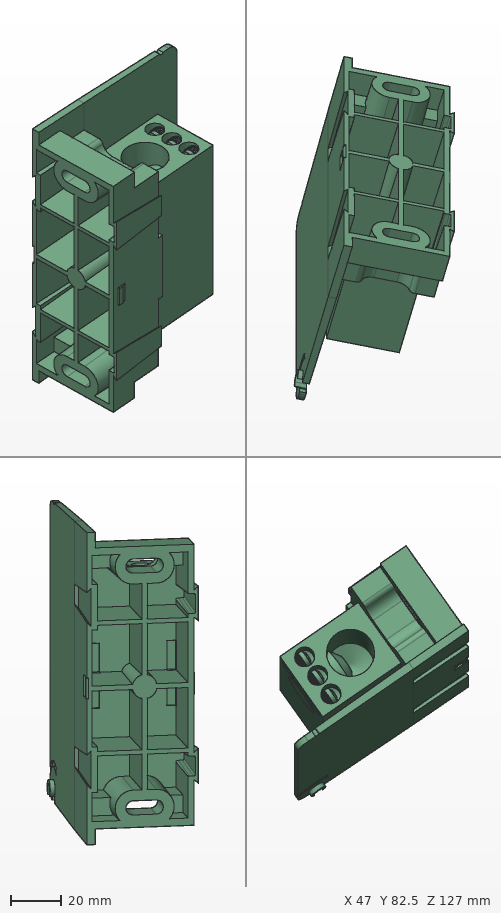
import cadquery as cq
import math


base_width = 43.5
base_height = 26.8
base_half_length = 57.2
plate_thickness = 3.4
base_centre_x = (plate_thickness + base_width) / 2
left_wall = 2.2
right_wall = 2.4
end_wall = 3.0
top_wall = 2.3
draft = 1

ear_height = 12.6
slot_z = 49.2
slot_diameter = 5.7
slot_length = 15.1
slot_centre_offset = (slot_length - slot_diameter) / 2
post_radius = 7.2
post_draft = 1.6
recess_radius = 10.8 / 2
recess_lip_radius = 5.0 / 2

long_rib = 2.2
cross_rib = 1.8
middle_rib = 2.0
cross_rib_z = 26.5
hub_diameter = 9.9

pad_height = 2.4
pad_half_length = 15.5
pad_wall = 2.3
left_hollow_edge = 9.8
right_hollow_edge = 37.0
hollow_depth = 1.3
hollow_inset = 0.4

dovetail_z = 33
dovetail_flare = 1.5
dovetail_narrowing = 2.0
groove_half_width = 6.1
groove_depth = 1.7
groove_backing = 4.3
backing_half_width = 9.3
backing_narrowing = 0.4
tongue_half_width = 5.6
tongue_depth = 1.8
tongue_cavity_half_width = 4.1
tongue_cavity_narrowing = 1.5
tongue_cavity_lip_radius = 1.0
tongue_cavity_corner_radius = 0.6
tongue_cavity_start = 40.5
tongue_cavity_end = 44.0

catch_width = 8.5
catch_depth = 0.8
catch_lead_in = 1.7
catch_start = 2.8
catch_ridge = 4.8
catch_end = 6.9

plate_top_inset = 0.4
plate_height = 82.5
plate_half_length = 63.5
plate_base_edge_angle = 1.6
plate_edge_angle = 2.2
corner_radius = 5.0
corner_flat_z = 60.7
flat_end_y = 72.4
scoop_y = 73.3
scoop_z = 61.2
scoop_radius = 1.0

hinge_y = 74.0
hinge_z = -55.4
boss_diameter = 7.0
boss_height = 1.7
hinge_slot_width = 4.0
hinge_mouth_width = 4.8
hinge_mouth_z = -58.4
arc_outer_diameter = 22.2
arc_inner_diameter = 17.5
arc_end_y = 68.2
arc_depth = 0.8
detent_start_y = 80.5
detent_crest_y = 81.5
detent_crest_x = 0.5

block_width = 29.8
block_height = 38.1
block_half_length = 37.7
block_left = base_centre_x - block_width / 2
block_right = base_centre_x + block_width / 2
block_top = base_height + block_height
drill_half_angle = 59

main_bore_diameter = 19
main_bore_y = 41.0
main_bore_depth = 31.8
branch_bore_diameter = 7.9
branch_bore_y = 56.9
branch_bore_depth = 7.6
branch_spacing = 9.1
branch_count = 3

main_screw_diameter = 17.5
main_screw_drop = 19
main_screw_shoulder_y = 46.2
main_screw_tip_y = 43.0
main_screw_tip_diameter = 7.6
branch_screw_diameter = 7.9
branch_screw_drop = 5.3
branch_screw_shoulder_y = 58.0
branch_point_diameter = 6.9
branch_point_end_y = 56.1
branch_screw_tip_y = 55.2
branch_screw_tip_diameter = 3.8
thread_pitch = 0.8
thread_depth = 0.4


def box(x_range, y_range, z_range):
    """Box between two corners, given as ranges along X, Y and Z."""
    sizes = [high - low for low, high in (x_range, y_range, z_range)]
    corner = (x_range[0], y_range[0], z_range[0])
    return cq.Workplane("XY").box(*sizes, centered=False).translate(corner)


def both_ends(shape):
    """A shape together with its mirror image about Z = 0."""
    return shape.union(shape.mirror("XY"))


def slot_prism(diameter, length, height, taper=0):
    """Rounded bar along X at the upper mounting slot, rising from Y = 0."""
    sketch = cq.Workplane("ZX").center(slot_z, base_centre_x).slot2D(length, diameter, 90)
    return sketch.extrude(height, taper=taper)


def drafted_pocket(x_range, z_range, depth):
    """Pocket rising from Y = 0 whose walls lean inward."""
    centre_z = sum(z_range) / 2
    centre_x = sum(x_range) / 2
    sketch = cq.Workplane("ZX").center(centre_z, centre_x)
    sketch = sketch.rect(z_range[1] - z_range[0], x_range[1] - x_range[0])
    return sketch.extrude(depth, taper=draft)


def tapered_dovetail(x_start, x_end, half_start, half_end, narrowing=dovetail_narrowing):
    """Trapezoid bar along Y at the upper joint, narrowing evenly from Y = 0 to the top."""
    def section(y, inset):
        start = half_start - inset
        end = half_end - inset
        points = [(x_start, -start), (x_end, -end), (x_end, end), (x_start, start)]
        return cq.Wire.makePolygon([cq.Vector(x, y, dovetail_z + z) for x, z in points], close=True)

    sections = [section(0, 0), section(base_height, narrowing)]
    return cq.Workplane(obj=cq.Solid.makeLoft(sections, True))


def tongue_cavity():
    """Hollow behind the upper tongue, with rounded lips and rounded inner corners."""
    lip = tongue_cavity_lip_radius
    corner = tongue_cavity_corner_radius
    mid_arc = 1 - math.sqrt(0.5)
    start = tongue_cavity_start
    end = tongue_cavity_end

    def section(y, half):
        plane = cq.Workplane("ZX", origin=(0, y, dovetail_z))
        outline = (
            plane.moveTo(-half - lip, start)
            .threePointArc((-half - lip * mid_arc, start + lip * mid_arc), (-half, start + lip))
            .lineTo(-half, end - corner)
            .threePointArc((-half + corner * mid_arc, end - corner * mid_arc), (-half + corner, end))
            .lineTo(half - corner, end)
            .threePointArc((half - corner * mid_arc, end - corner * mid_arc), (half, end - corner))
            .lineTo(half, start + lip)
            .threePointArc((half + lip * mid_arc, start + lip * mid_arc), (half + lip, start))
            .close()
        )
        return outline.val()

    open_end = section(0, tongue_cavity_half_width)
    closed_end = section(base_height - top_wall, tongue_cavity_half_width - tongue_cavity_narrowing)
    return cq.Workplane(obj=cq.Solid.makeLoft([open_end, closed_end], True))


def pockets():
    """Open cells under the base, with a shallower one under each ear."""
    inner_left = left_wall
    inner_right = base_width - right_wall
    deep_end = slot_z - top_wall
    rib_left = base_centre_x - long_rib / 2
    rib_right = base_centre_x + long_rib / 2
    ear_pocket_height = ear_height - top_wall
    floor = base_height - top_wall

    ear_cell = (deep_end - top_wall, base_half_length - end_wall)
    cut = drafted_pocket((inner_left, inner_right), ear_cell, ear_pocket_height)
    middle_cell = (middle_rib / 2, cross_rib_z - cross_rib / 2)
    end_cell = (cross_rib_z + cross_rib / 2, deep_end)
    for x_range in ((inner_left, rib_left), (rib_right, inner_right)):
        for z_range in (middle_cell, end_cell):
            cut = cut.union(drafted_pocket(x_range, z_range, floor))

    hollow_y = (floor - hollow_depth, floor + hollow_depth)
    hollow_z = (middle_rib / 2 + hollow_inset, pad_half_length - pad_wall)
    left_hollow = (inner_left + hollow_inset, left_hollow_edge)
    right_hollow = (right_hollow_edge, inner_right - hollow_inset)
    for x_range in (left_hollow, right_hollow):
        cut = cut.union(box(x_range, hollow_y, hollow_z))
    return cut


def ear_recess():
    """Screw-head recess over the upper ear: a round-ended scoop with rounded lips."""
    reach = recess_radius + recess_lip_radius
    lip_offset = math.sqrt(reach**2 - recess_lip_radius**2)
    crease = recess_radius / reach
    bottom = slot_z - recess_radius
    diagonal = recess_radius * math.sqrt(0.5)

    def mid_lip(side):
        start = math.pi - math.atan2(recess_lip_radius, lip_offset)
        angle = (start + math.pi / 2) / 2
        x = slot_centre_offset + lip_offset + recess_lip_radius * math.cos(angle)
        return (side * x, slot_z - recess_lip_radius + recess_lip_radius * math.sin(angle))

    crease_x = slot_centre_offset + lip_offset * crease
    crease_z = slot_z - recess_lip_radius * crease
    lip_x = slot_centre_offset + lip_offset
    outline = (
        cq.Workplane("XZ", origin=(base_centre_x, base_height, 0))
        .moveTo(-lip_x, slot_z)
        .threePointArc(mid_lip(-1), (-crease_x, crease_z))
        .threePointArc((-slot_centre_offset - diagonal, slot_z - diagonal), (-slot_centre_offset, bottom))
        .lineTo(slot_centre_offset, bottom)
        .threePointArc((slot_centre_offset + diagonal, slot_z - diagonal), (crease_x, crease_z))
        .threePointArc(mid_lip(1), (lip_x, slot_z))
        .close()
    )
    return outline.extrude(base_height - ear_height)


def catch_profile(x_face, lead_in):
    """Snap-catch wedges of the given face, reaching toward +X."""
    x_deep = x_face + catch_depth
    hook = [(x_face, catch_start), (x_deep, catch_start), (x_deep, catch_ridge), (x_face, catch_end)]
    sketch = cq.Workplane("XY", origin=(0, 0, -catch_width / 2)).polyline(hook).close()
    if lead_in:
        sketch = sketch.polyline([(x_face, 0), (x_deep, 0), (x_face, catch_lead_in)]).close()
    return sketch.extrude(catch_width)


def divider_plate():
    """Standing plate with slightly converging edges and faces, and rounded far corners."""
    base_edge_z = plate_half_length - base_height * math.tan(math.radians(plate_base_edge_angle))
    edge_z = base_edge_z - (flat_end_y - base_height) * math.tan(math.radians(plate_edge_angle))
    outline = [
        (0, plate_half_length),
        (base_height, base_edge_z),
        (flat_end_y, edge_z),
        (flat_end_y, corner_flat_z),
        (plate_height, corner_flat_z),
    ]
    mirrored = [(y, -z) for y, z in reversed(outline)]
    slab = cq.Workplane("YZ").polyline(outline + mirrored).close().extrude(plate_thickness)
    slab = slab.edges("|X").edges(">Y").fillet(corner_radius)
    scoop = cq.Workplane("YZ").center(scoop_y, scoop_z).circle(scoop_radius).extrude(plate_thickness)

    thickness_profile = [
        (0, 0),
        (plate_thickness, 0),
        (plate_thickness, base_height),
        (plate_thickness - plate_top_inset, plate_height),
        (plate_top_inset, plate_height),
        (0, base_height),
    ]
    envelope = cq.Workplane("XY").polyline(thickness_profile).close().extrude(plate_half_length, both=True)
    return slab.cut(scoop).intersect(envelope)


def hinge_disc(diameter, x_start, x_end):
    """Disc about the hinge axis."""
    plane = cq.Workplane("YZ", origin=(x_start, hinge_y, hinge_z))
    return plane.circle(diameter / 2).extrude(x_end - x_start)


def hinge_slot():
    """Open-ended slot through the hinge boss that widens at its mouth."""
    x_range = (-boss_height, plate_thickness)
    half = hinge_slot_width / 2
    half_mouth = hinge_mouth_width / 2
    neck = box(x_range, (hinge_y - half, hinge_y + half), (hinge_mouth_z, hinge_z))
    mouth_z = (-plate_half_length, hinge_mouth_z)
    mouth = box(x_range, (hinge_y - half_mouth, hinge_y + half_mouth), mouth_z)
    return hinge_disc(hinge_slot_width, *x_range).union(neck).union(mouth)


def hinge_arc_groove():
    """Shallow arc groove around the hinge, with a detent ridge where it runs out over the far edge."""
    floor_x = plate_top_inset + arc_depth
    ring = hinge_disc(arc_outer_diameter, 0, floor_x).cut(hinge_disc(arc_inner_diameter, 0, floor_x))
    groove = ring.intersect(box((0, floor_x), (arc_end_y, plate_height), (hinge_z, 0)))
    ridge = [(floor_x, detent_start_y), (detent_crest_x, detent_crest_y), (floor_x, plate_height)]
    return groove.cut(cq.Workplane("XY").polyline(ridge).close().extrude(hinge_z))


def make_housing():
    main_body = box((0, base_width), (0, base_height), (-slot_z, slot_z))
    ears = box((0, base_width), (0, ear_height), (-base_half_length, base_half_length))
    envelope = main_body.union(ears)
    body = envelope.union(divider_plate()).cut(both_ends(pockets()))

    post_length = 2 * (slot_centre_offset + post_radius)
    post = slot_prism(2 * post_radius, post_length, base_height, -post_draft)
    body = body.union(both_ends(post).intersect(envelope))
    hub = cq.Workplane("ZX").center(0, base_centre_x).circle(hub_diameter / 2)
    body = body.union(hub.extrude(base_height))
    backing = tapered_dovetail(
        left_wall, groove_backing, backing_half_width, backing_half_width, backing_narrowing
    )
    body = body.union(both_ends(backing))

    for x_range in ((plate_thickness, block_left), (block_right, base_width)):
        pad_y = (base_height, base_height + pad_height)
        body = body.union(box(x_range, pad_y, (-pad_half_length, pad_half_length)))

    body = body.cut(both_ends(ear_recess()))
    body = body.cut(both_ends(slot_prism(slot_diameter, slot_length, base_height)))

    tongue_tip = base_width + tongue_depth
    tongue = tapered_dovetail(base_width, tongue_tip, tongue_half_width, tongue_half_width + dovetail_flare)
    body = body.union(both_ends(tongue)).cut(both_ends(tongue_cavity()))

    groove = tapered_dovetail(0, groove_depth, groove_half_width, groove_half_width + dovetail_flare)
    body = body.cut(both_ends(groove))
    body = body.cut(catch_profile(0, True))
    body = body.union(catch_profile(base_width, False))

    body = body.union(hinge_disc(boss_diameter, -boss_height, plate_thickness / 2))
    return body.cut(hinge_slot()).cut(hinge_arc_groove())


def wire_bore(x, y, diameter, depth):
    """Blind bore from the block's top end with a drill-point bottom."""
    radius = diameter / 2
    point = radius / math.tan(math.radians(drill_half_angle))
    profile = [(0, 0), (radius, 0), (radius, -depth), (0, -depth - point)]
    bore = cq.Workplane("XZ").polyline(profile).close().revolve(360, (0, 0), (0, 1))
    return bore.translate((x, y, block_half_length))


def branch_positions():
    first = base_centre_x - branch_spacing * (branch_count - 1) / 2
    return [first + branch_spacing * i for i in range(branch_count)]


def turned(x, z, profile):
    """Round body along Y from a profile of (radius, height) points."""
    body = cq.Workplane("XY").polyline(profile).close().revolve(360, (0, 0), (0, 1))
    return body.translate((x, 0, z))


def make_main_screw():
    radius = main_screw_diameter / 2
    profile = [
        (0, main_screw_tip_y),
        (main_screw_tip_diameter / 2, main_screw_tip_y),
        (radius, main_screw_shoulder_y),
        (radius, block_top),
        (0, block_top),
    ]
    return turned(base_centre_x, block_half_length - main_screw_drop, profile)


def branch_screw_blank(x):
    """Branch screw before threading, which is also the shape of its seat in the block."""
    radius = branch_screw_diameter / 2
    point_radius = branch_point_diameter / 2
    profile = [
        (0, branch_screw_tip_y),
        (branch_screw_tip_diameter / 2, branch_screw_tip_y),
        (point_radius, branch_point_end_y),
        (point_radius, branch_screw_shoulder_y),
        (radius, branch_screw_shoulder_y),
        (radius, block_top),
        (0, block_top),
    ]
    return turned(x, block_half_length - branch_screw_drop, profile)


def make_branch_screw(x):
    """Branch screw whose thread is a row of plain V-grooves."""
    radius = branch_screw_diameter / 2
    root = radius - thread_depth
    screw = branch_screw_blank(x)
    groove_count = math.floor((block_top - branch_screw_shoulder_y) / thread_pitch)
    for i in range(groove_count):
        low = branch_screw_shoulder_y + thread_pitch * i
        high = low + thread_pitch
        profile = [(radius, low), (root, (low + high) / 2), (radius, high)]
        screw = screw.cut(turned(x, block_half_length - branch_screw_drop, profile))
    return screw


def make_terminal_block():
    block_z = (-block_half_length, block_half_length)
    block = box((block_left, block_right), (base_height, block_top), block_z)
    block = block.cut(wire_bore(base_centre_x, main_bore_y, main_bore_diameter, main_bore_depth))
    for x in branch_positions():
        block = block.cut(wire_bore(x, branch_bore_y, branch_bore_diameter, branch_bore_depth))
        block = block.cut(branch_screw_blank(x))
    return block.cut(make_main_screw())


housing = make_housing()
main_screw = make_main_screw()
branch_screws = [make_branch_screw(x) for x in branch_positions()]
terminal_block = make_terminal_block()

bodies = [housing, terminal_block, main_screw, *branch_screws]
result = cq.Compound.makeCompound([body.solids().val() for body in bodies])